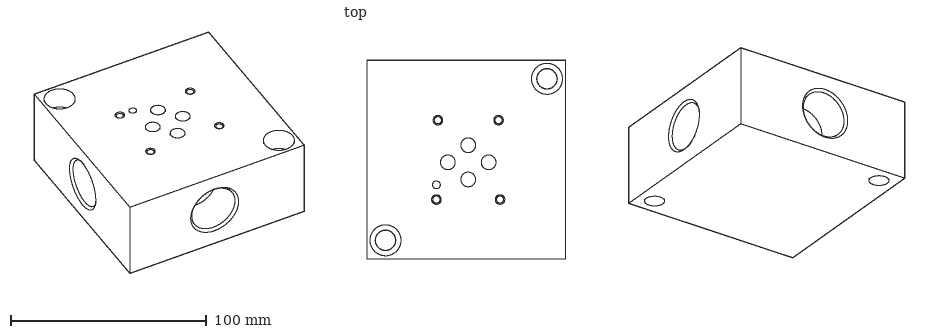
import cadquery as cq
import math


side = 101.6
height = 44.5

drill_point_angle = 118.0

mount_offset = 41.2
mount_hole_dia = 10.3
mount_bore_dia = 15.8
mount_bore_depth = 12.2

valve_x = 1.0
valve_y = -1.4

opening_dia = 7.5
opening_depth = 12.2
opening_spacing_x = 20.8
opening_spacing_y = 17.5

fixing_dia = 3.7
fixing_mouth_dia = 4.9
fixing_chamfer_depth = 0.4
fixing_depth = 12.2
fixing_rear_spacing = 31.0
fixing_front_spacing = 32.5
fixing_rear_y = 20.1
fixing_front_y = -20.4

pin_dia = 4.0
pin_depth = 4.1
pin_y = -12.9

front_rear_port_x = 0.6
port_z = 22.5
port_mouth_dia = 27.9
port_thread_dia = 25.2
port_end_dia = 24.0
port_chamfer_depth = 1.3
port_depth = 20.3


def point_length(diameter):
    """Height of the drill cone that closes a hole of this diameter."""
    return diameter / 2 / math.tan(math.radians(drill_point_angle / 2))


def turned_hole(profile):
    """Cutter with its mouth at the origin, running down -Z, from (diameter, depth) pairs."""
    points = [(diameter / 2, -depth) for diameter, depth in profile]
    outline = cq.Workplane("XZ").polyline([(0, 0)] + points).close()
    return outline.revolve(360, (0, 0, 0), (0, 1, 0))


def flat_hole(diameter, depth):
    return turned_hole([(diameter, 0), (diameter, depth), (0, depth)])


def mount_hole():
    return turned_hole([
        (mount_bore_dia, 0),
        (mount_bore_dia, mount_bore_depth),
        (mount_hole_dia, mount_bore_depth),
        (mount_hole_dia, height),
        (0, height),
    ])


def fixing_hole():
    return turned_hole([
        (fixing_mouth_dia, 0),
        (fixing_dia, fixing_chamfer_depth),
        (fixing_dia, fixing_depth),
        (0, fixing_depth + point_length(fixing_dia)),
    ])


def pipe_port():
    return turned_hole([
        (port_mouth_dia, 0),
        (port_thread_dia, port_chamfer_depth),
        (port_end_dia, port_depth),
        (0, port_depth + point_length(port_end_dia)),
    ])


def cut_from_top(body, cutter, places):
    for x, y in places:
        body = body.cut(cutter.translate((x, y, height)))
    return body


def cut_pipe_ports(body):
    for direction in (-1, 1):
        along_x = pipe_port().rotate((0, 0, 0), (0, 1, 0), direction * 90)
        along_y = pipe_port().rotate((0, 0, 0), (1, 0, 0), -direction * 90)
        body = body.cut(along_x.translate((direction * side / 2, valve_y, port_z)))
        body = body.cut(along_y.translate((front_rear_port_x, direction * side / 2, port_z)))
    return body


mount_places = [(-mount_offset, -mount_offset), (mount_offset, mount_offset)]
opening_places = [
    (valve_x - opening_spacing_x / 2, valve_y),
    (valve_x + opening_spacing_x / 2, valve_y),
    (valve_x, valve_y - opening_spacing_y / 2),
    (valve_x, valve_y + opening_spacing_y / 2),
]
fixing_places = [
    (valve_x - fixing_rear_spacing / 2, fixing_rear_y),
    (valve_x + fixing_rear_spacing / 2, fixing_rear_y),
    (valve_x - fixing_front_spacing / 2, fixing_front_y),
    (valve_x + fixing_front_spacing / 2, fixing_front_y),
]
pin_place = (valve_x - fixing_front_spacing / 2, pin_y)

body = cq.Workplane("XY").box(side, side, height, centered=(True, True, False))
body = cut_from_top(body, mount_hole(), mount_places)
body = cut_from_top(body, flat_hole(opening_dia, opening_depth), opening_places)
body = cut_from_top(body, fixing_hole(), fixing_places)
body = cut_from_top(body, flat_hole(pin_dia, pin_depth), [pin_place])
result = cut_pipe_ports(body)